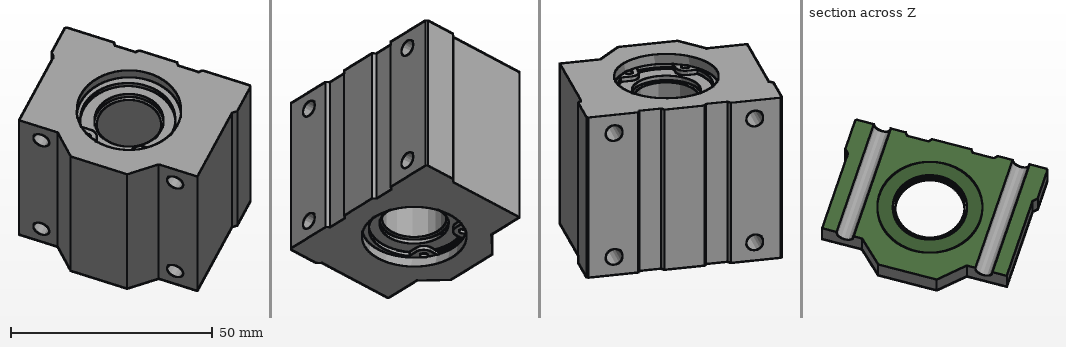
import cadquery as cq
import math

WIDTH = 50.0
LENGTH = 44.0
DEPTH = 38.5
BACK_Y = 19.0
FRONT_Y = BACK_Y - DEPTH
SHOULDER_Y = -13.5
FLANGE_Y = 10.0
SIDE_STEP = 1.0
NOSE_TOP_HALF = 7.6
NOSE_BASE_HALF = NOSE_TOP_HALF + SHOULDER_Y - FRONT_Y
CORNER_CHAMFER = 0.4

GROOVE_INNER_X = 5.1
GROOVE_OUTER_X = 11.9
GROOVE_DEPTH = 0.85
GROOVE_BEVEL = 0.65

MOUNT_DIAMETER = 4.3
MOUNT_SPACING_X = 36.0
MOUNT_SPACING_Z = 34.0

BORE_DIAMETER = 26.0
RING_SEAT_DIAMETER = 27.2
RING_RECESS = 2.7
RING_THICKNESS = 1.2
RING_INNER_RADIUS = 11.85
RING_INNER_Y = -0.75
LUG_X = 7.2
LUG_Y = -9.95
LUG_RADIUS = 2.5
LUG_HOLE_DIAMETER = 2.0

BEARING_LENGTH = LENGTH - 2 * (RING_RECESS + RING_THICKNESS)
BEARING_END_DIAMETER = 24.9
BEARING_BORE = 16.0
BEARING_LIP_BORE = 17.2
LIP_DEPTH = 1.2
UNDERCUT_DIAMETER = 18.4
UNDERCUT_WIDTH = 0.4


def cylinder(diameter, height, base_z):
    return cq.Workplane("XY").workplane(offset=base_z).circle(diameter / 2).extrude(height)


def ring_base_z(end):
    """Lower face of the ring at the top (end = 1) or bottom (end = -1)."""
    center_z = end * (LENGTH - RING_THICKNESS) / 2 - end * RING_RECESS
    return center_z - RING_THICKNESS / 2


def make_housing():
    half = WIDTH / 2
    groove_floor_y = BACK_Y - GROOVE_DEPTH
    right_side = [
        (GROOVE_INNER_X, BACK_Y),
        (GROOVE_INNER_X + GROOVE_BEVEL, groove_floor_y),
        (GROOVE_OUTER_X - GROOVE_BEVEL, groove_floor_y),
        (GROOVE_OUTER_X, BACK_Y),
        (half - CORNER_CHAMFER, BACK_Y),
        (half, BACK_Y - CORNER_CHAMFER),
        (half, FLANGE_Y),
        (half - SIDE_STEP, FLANGE_Y - SIDE_STEP),
        (half - SIDE_STEP, SHOULDER_Y),
        (NOSE_BASE_HALF, SHOULDER_Y),
        (NOSE_TOP_HALF, FRONT_Y),
    ]
    left_side = [(-x, y) for x, y in reversed(right_side)]
    block = (
        cq.Workplane("XY").workplane(offset=-LENGTH / 2)
        .polyline(right_side + left_side).close().extrude(LENGTH)
    )
    block = block.cut(cylinder(BORE_DIAMETER, LENGTH, -LENGTH / 2))
    for end in (-1, 1):
        block = block.cut(cylinder(RING_SEAT_DIAMETER, RING_THICKNESS, ring_base_z(end)))
    mount_holes = (
        cq.Workplane("XZ").rarray(MOUNT_SPACING_X, MOUNT_SPACING_Z, 2, 2)
        .circle(MOUNT_DIAMETER / 2).extrude(WIDTH, both=True)
    )
    return block.cut(mount_holes)


def make_bearing():
    sleeve = cylinder(BORE_DIAMETER, BEARING_LENGTH, -BEARING_LENGTH / 2)
    sleeve = sleeve.faces("<Z or >Z").edges().chamfer((BORE_DIAMETER - BEARING_END_DIAMETER) / 2)
    sleeve = sleeve.cut(cylinder(BEARING_BORE, BEARING_LENGTH, -BEARING_LENGTH / 2))
    for base_z in (-BEARING_LENGTH / 2, BEARING_LENGTH / 2 - LIP_DEPTH):
        sleeve = sleeve.cut(cylinder(BEARING_LIP_BORE, LIP_DEPTH, base_z))
    undercut_end_z = BEARING_LENGTH / 2 - LIP_DEPTH
    for base_z in (-undercut_end_z, undercut_end_z - UNDERCUT_WIDTH):
        sleeve = sleeve.cut(cylinder(UNDERCUT_DIAMETER, UNDERCUT_WIDTH, base_z))
    return sleeve


def make_retaining_ring(end):
    """Open ring whose two ends widen into drilled lugs."""
    outer_radius = RING_SEAT_DIAMETER / 2
    gap_x = LUG_X - LUG_RADIUS
    gap_y = -math.sqrt(outer_radius**2 - gap_x**2)
    lug_top_y = LUG_Y + LUG_RADIUS
    inner_x = math.sqrt(RING_INNER_RADIUS**2 - (lug_top_y - RING_INNER_Y)**2)
    lug_diagonal = LUG_RADIUS * math.sqrt(0.5)
    ring = (
        cq.Workplane("XY").workplane(offset=ring_base_z(end))
        .moveTo(gap_x, gap_y)
        .threePointArc((0, outer_radius), (-gap_x, gap_y))
        .lineTo(-gap_x, LUG_Y)
        .threePointArc((-LUG_X + lug_diagonal, LUG_Y + lug_diagonal), (-LUG_X, lug_top_y))
        .lineTo(-inner_x, lug_top_y)
        .threePointArc((0, RING_INNER_Y + RING_INNER_RADIUS), (inner_x, lug_top_y))
        .lineTo(LUG_X, lug_top_y)
        .threePointArc((LUG_X - lug_diagonal, LUG_Y + lug_diagonal), (gap_x, LUG_Y))
        .close().extrude(RING_THICKNESS)
    )
    for side in (-1, 1):
        hole = cylinder(LUG_HOLE_DIAMETER, RING_THICKNESS, ring_base_z(end))
        ring = ring.cut(hole.translate((side * LUG_X, LUG_Y, 0)))
    return ring


housing = make_housing()
bearing = make_bearing()
retaining_rings = [make_retaining_ring(end) for end in (-1, 1)]

result = cq.Compound.makeCompound(
    [housing.val(), bearing.val(), *[ring.val() for ring in retaining_rings]]
)